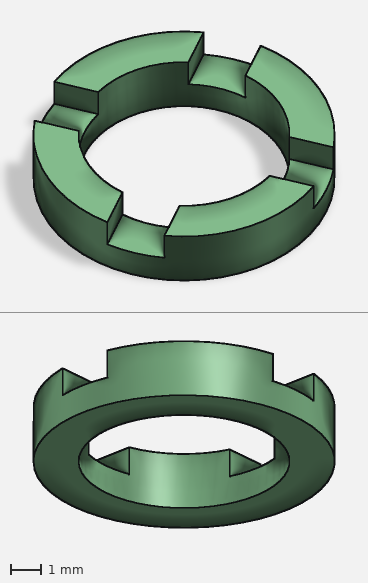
import cadquery as cq

outer_diameter = 10.0
inner_diameter = 7.0
height = 2.0

slot_width = 2.0
slot_depth = 1.0
slot_floor = height - slot_depth

ring = (
    cq.Workplane("XY")
    .circle(outer_diameter / 2)
    .circle(inner_diameter / 2)
    .extrude(height)
)

crossed_slots = (
    cq.Workplane("XY")
    .workplane(offset=slot_floor)
    .rect(outer_diameter, slot_width)
    .extrude(slot_depth)
    .union(
        cq.Workplane("XY")
        .workplane(offset=slot_floor)
        .rect(slot_width, outer_diameter)
        .extrude(slot_depth)
    )
)

result = ring.cut(crossed_slots)